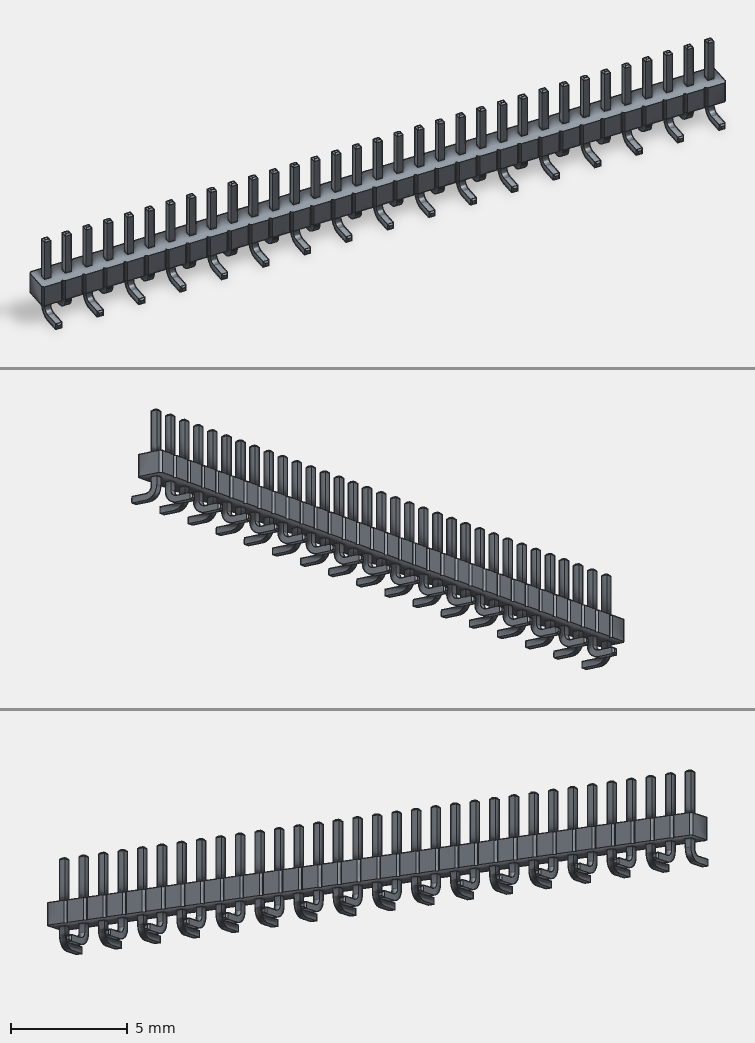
import cadquery as cq

body_length = 33.0
pin_count = 33
pitch = body_length / pin_count
body_width = 1.3
body_bottom = 1.0
body_top = 1.98
cell_chamfer = 0.1

pin_size = 0.3
pin_top = 4.0
foot_reach = 1.25
bend_inner_radius = 0.3
bend_outer_radius = bend_inner_radius + pin_size
tip_chamfer = pin_size / 4


def body_cell(y):
    """One body cell with its four upright edges chamfered."""
    height = body_top - body_bottom
    return (
        cq.Workplane("XY", origin=(0, y, body_bottom))
        .rect(body_width, pitch)
        .extrude(height)
        .edges("|Z")
        .chamfer(cell_chamfer)
    )


def pin_with_foot():
    """Pin on the Z axis whose foot points toward +X and rests on Z = 0."""
    half = pin_size / 2
    bend_x = half + bend_inner_radius
    bend_z = bend_outer_radius

    wire_path = (
        cq.Workplane("XZ")
        .moveTo(0, pin_top)
        .lineTo(0, bend_z)
        .radiusArc((bend_x, half), -(bend_inner_radius + half))
        .lineTo(foot_reach, half)
    )
    wire = (
        cq.Workplane("XY", origin=(0, 0, pin_top))
        .rect(pin_size, pin_size)
        .sweep(wire_path)
    )
    return wire.faces(">Z").chamfer(tip_chamfer).faces(">X").chamfer(tip_chamfer)


right_pin = pin_with_foot()
left_pin = right_pin.rotate((0, 0, 0), (0, 0, 1), 180)

result = cq.Workplane("XY")
for index in range(pin_count):
    y = (index - (pin_count - 1) / 2) * pitch
    pin = right_pin if index % 2 == 0 else left_pin
    contact = body_cell(y).union(pin.translate((0, y, 0)))
    result = result.union(contact)